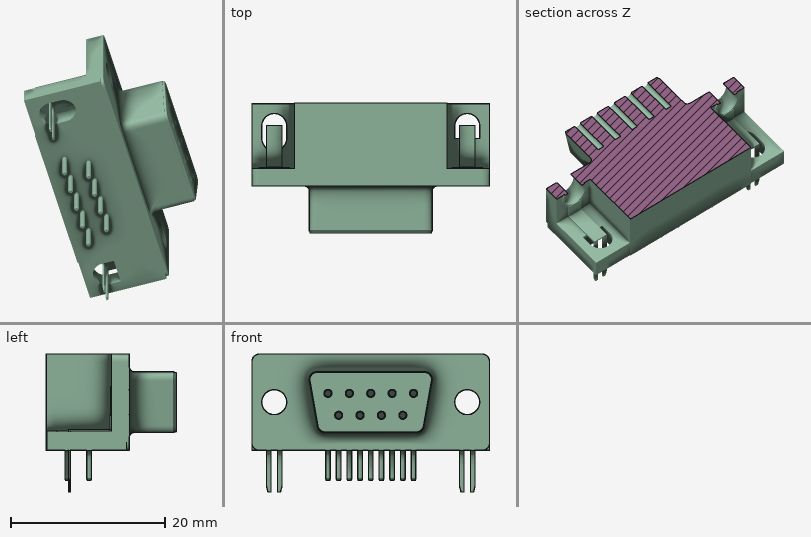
import cadquery as cq
import math


FLANGE_WIDTH = 30.8
FLANGE_HEIGHT = 12.5
FLANGE_DEPTH = 2.3
SHEET_THICKNESS = 0.4
FLANGE_CORNER_RADIUS = 1.0
SHEET_EDGE_RADIUS = 0.1
MOUNT_HOLE_DIAMETER = 3.2
MOUNT_SPACING = 25.0
MOUNT_HEIGHT = FLANGE_HEIGHT / 2
MOUNT_XS = (-MOUNT_SPACING / 2, MOUNT_SPACING / 2)

HOUSING_WIDTH = 19.8
HOUSING_BACK = 10.8
BASE_BACK = 10.7
BASE_HEIGHT = 2.5
SLOT_WIDTH = MOUNT_HOLE_DIAMETER
SLOT_BACK_CENTRE = 7.8
SLOT_FRONT_CENTRE = 6.2

SHELL_TOP_WIDTH = 16.33
SHELL_HEIGHT = 7.9
TOTAL_DEPTH = 16.88
INSERT_PROJECTION = TOTAL_DEPTH - HOUSING_BACK
INSERT_STANDOUT = 0.3
INSERT_INSET = 0.1
INSERT_EDGE_RADIUS = 0.1
SHELL_LENGTH = INSERT_PROJECTION - INSERT_STANDOUT
SHELL_SIDE_ANGLE = 10.0
SHELL_CORNER_RADIUS = 1.0
SHELL_ROOT_RADIUS = 0.6

CONTACT_PITCH = 2.77
ROW_SPACING = 2.84
CONTACT_MID_HEIGHT = 5.97
SOCKET_DIAMETER = 0.85
SOCKET_LEAD_IN = 0.1
SOCKET_DEPTH = 5.0
PIN_DIAMETER = 0.64
PIN_LENGTH = 3.9
PIN_TIP_HEIGHT = 0.2
PIN_TIP_INSET = 0.1
PIN_EMBEDDED = 1.0
FRONT_PIN_ROW = 5.22
CONTACT_ROWS = (
    (5, CONTACT_MID_HEIGHT + ROW_SPACING / 2, FRONT_PIN_ROW + ROW_SPACING),
    (4, CONTACT_MID_HEIGHT - ROW_SPACING / 2, FRONT_PIN_ROW),
)

CLIP_WIDTH = 2.04
CLIP_THICKNESS = 0.22
CLIP_BACK = 7.88
RING_DIAMETER = 4.0
RING_THICKNESS = 0.15
LEG_LENGTH = 5.4
LEG_GAP = 0.8
LEG_TIP_HEIGHT = 0.75
LEG_TIP_INSET = 0.2


def box(width, y_front, y_back, z_low, z_high, x_centre=0.0):
    """Box centred on x_centre in X, between the given Y and Z limits."""
    block = cq.Workplane("XY").box(width, y_back - y_front, z_high - z_low, centered=(True, False, False))
    return block.translate((x_centre, y_front, z_low))


def front_plane(y):
    """Workplane at depth y whose normal points to -Y, with local axes X and Z."""
    return cq.Workplane("XZ", origin=(0, y, 0))


def make_mount_hole(x_centre):
    """Cutter through the flange and the clip behind it."""
    depth = FLANGE_DEPTH + CLIP_THICKNESS
    hole = front_plane(depth).center(x_centre, MOUNT_HEIGHT)
    return hole.circle(MOUNT_HOLE_DIAMETER / 2).extrude(depth)


def make_d_prism(y_back, length, inset=0.0):
    """Rounded D prism running toward -Y from y_back, its outline inset from the shell outline."""
    top = MOUNT_HEIGHT + SHELL_HEIGHT / 2
    bottom = MOUNT_HEIGHT - SHELL_HEIGHT / 2
    half_top = SHELL_TOP_WIDTH / 2
    half_bottom = half_top - SHELL_HEIGHT * math.tan(math.radians(SHELL_SIDE_ANGLE))
    outline = [(-half_top, top), (half_top, top), (half_bottom, bottom), (-half_bottom, bottom)]
    profile = front_plane(y_back).polyline(outline).close()
    if inset > 0:
        profile = profile.offset2D(-inset)
    return profile.extrude(length).edges("|Y").fillet(SHELL_CORNER_RADIUS - inset)


def make_shell():
    return make_d_prism(SHEET_THICKNESS, SHELL_LENGTH + SHEET_THICKNESS)


def make_insert():
    insert = make_d_prism(-SHELL_LENGTH, INSERT_STANDOUT, INSERT_INSET)
    return insert.faces("<Y").edges().fillet(INSERT_EDGE_RADIUS)


def make_sheet_with_shell():
    """Front sheet with rounded outline and hole edges, flowing into the shell through a root fillet."""
    sheet = box(FLANGE_WIDTH, 0, SHEET_THICKNESS, 0, FLANGE_HEIGHT)
    sheet = sheet.edges("|Y").fillet(FLANGE_CORNER_RADIUS)
    for mount_x in MOUNT_XS:
        sheet = sheet.cut(make_mount_hole(mount_x))
    sheet = sheet.faces("<Y").edges().fillet(SHEET_EDGE_RADIUS)
    margin = SHEET_THICKNESS / 2
    root_edges = cq.selectors.BoxSelector(
        (-SHELL_TOP_WIDTH / 2, -margin, MOUNT_HEIGHT - SHELL_HEIGHT / 2 - margin),
        (SHELL_TOP_WIDTH / 2, margin, MOUNT_HEIGHT + SHELL_HEIGHT / 2 + margin),
    )
    return sheet.union(make_shell()).edges(root_edges).fillet(SHELL_ROOT_RADIUS)


def make_body():
    flange = box(FLANGE_WIDTH, SHEET_THICKNESS, FLANGE_DEPTH, 0, FLANGE_HEIGHT)
    flange = flange.faces(">Z").edges("|Y").fillet(FLANGE_CORNER_RADIUS)
    housing = box(HOUSING_WIDTH, SHEET_THICKNESS, HOUSING_BACK, 0, FLANGE_HEIGHT)
    base = box(FLANGE_WIDTH, SHEET_THICKNESS, BASE_BACK, 0, BASE_HEIGHT)
    return flange.union(housing).union(base)


def make_slot(x_centre, round_front):
    """Vertical cutter through the base; the front end is round or cut square."""
    slot = box(SLOT_WIDTH, SLOT_FRONT_CENTRE, SLOT_BACK_CENTRE, 0, BASE_HEIGHT, x_centre)
    round_ends = [SLOT_BACK_CENTRE]
    if round_front:
        round_ends.append(SLOT_FRONT_CENTRE)
    for y in round_ends:
        slot = slot.union(cq.Workplane("XY").center(x_centre, y).circle(SLOT_WIDTH / 2).extrude(BASE_HEIGHT))
    return slot


def make_clip(x_centre):
    """Ring and upright on the flange back, strap over the base and a split leg through the slot."""
    hole_bottom = MOUNT_HEIGHT - MOUNT_HOLE_DIAMETER / 2
    strap_top = BASE_HEIGHT + CLIP_THICKNESS
    ring = front_plane(FLANGE_DEPTH + RING_THICKNESS).center(x_centre, MOUNT_HEIGHT)
    ring = ring.circle(RING_DIAMETER / 2).extrude(RING_THICKNESS)
    upright = box(CLIP_WIDTH, FLANGE_DEPTH, FLANGE_DEPTH + CLIP_THICKNESS, BASE_HEIGHT, hole_bottom, x_centre)
    strap = box(CLIP_WIDTH, FLANGE_DEPTH, CLIP_BACK, BASE_HEIGHT, strap_top, x_centre)

    half_width = CLIP_WIDTH / 2
    half_tip = half_width - LEG_TIP_INSET
    taper_top = -LEG_LENGTH + LEG_TIP_HEIGHT
    leg_outline = [
        (-half_width, strap_top),
        (half_width, strap_top),
        (half_width, taper_top),
        (half_tip, -LEG_LENGTH),
        (-half_tip, -LEG_LENGTH),
        (-half_width, taper_top),
    ]
    leg = front_plane(CLIP_BACK).center(x_centre, 0).polyline(leg_outline).close().extrude(CLIP_THICKNESS)
    leg = leg.cut(box(LEG_GAP, CLIP_BACK - CLIP_THICKNESS, CLIP_BACK, -LEG_LENGTH, BASE_HEIGHT, x_centre))
    return ring.union(upright).union(strap).union(leg)


def row_positions(count):
    return [(i - (count - 1) / 2) * CONTACT_PITCH for i in range(count)]


def make_socket(x, z):
    """Cutter for a blind hole in the insert face with a chamfered mouth."""
    radius = SOCKET_DIAMETER / 2
    hole = front_plane(-INSERT_PROJECTION).center(x, z).circle(radius).extrude(-SOCKET_DEPTH)
    mouth = cq.Vector(x, -INSERT_PROJECTION, z)
    inward = cq.Vector(0, 1, 0)
    lead_in = cq.Solid.makeCone(radius + SOCKET_LEAD_IN, radius, SOCKET_LEAD_IN, mouth, inward)
    return hole.union(cq.Workplane(lead_in))


def make_pin(x, y):
    pin = cq.Workplane("XY", origin=(x, y, -PIN_LENGTH)).circle(PIN_DIAMETER / 2)
    pin = pin.extrude(PIN_LENGTH + PIN_EMBEDDED)
    return pin.faces("<Z").edges().chamfer(PIN_TIP_HEIGHT, PIN_TIP_INSET)


result = make_body().union(make_sheet_with_shell()).union(make_insert())
for mount_x in MOUNT_XS:
    result = result.cut(make_slot(mount_x, round_front=mount_x < 0))
    result = result.union(make_clip(mount_x))
    result = result.cut(make_mount_hole(mount_x))

for contact_count, socket_z, pin_y in CONTACT_ROWS:
    for contact_x in row_positions(contact_count):
        result = result.cut(make_socket(contact_x, socket_z))
        result = result.union(make_pin(contact_x, pin_y))